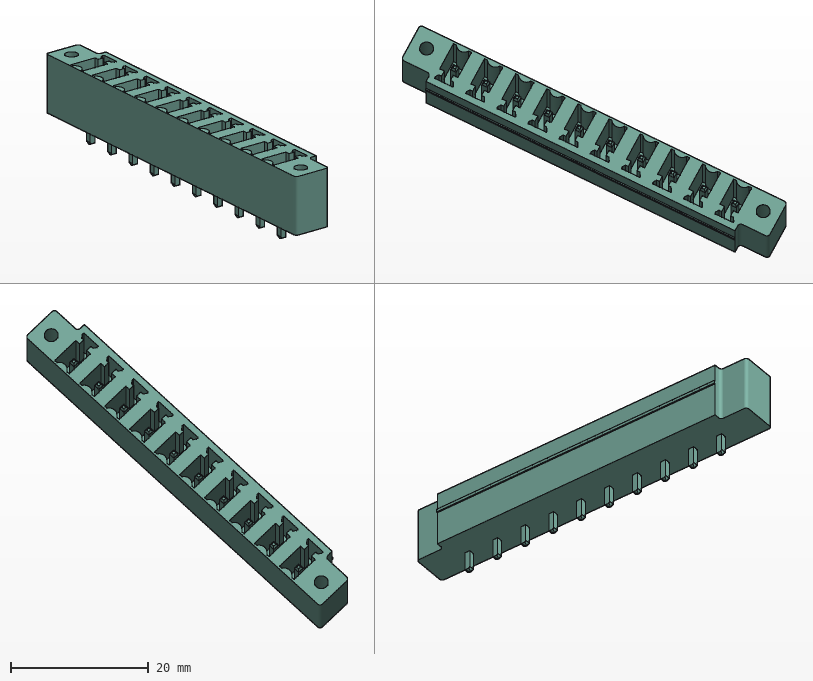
import cadquery as cq


PIN_COUNT = 10
PITCH = 5.08
PIN_SIZE = 0.9
PIN_TIP_LENGTH = 0.5
PIN_TIP_INSET = 0.25
PIN_TOP = 7.0

OVERALL_LENGTH = 59.92
OVERALL_DEPTH = 7.55
OVERALL_HEIGHT = 12.6
HOUSING_HEIGHT = 9.2
FRONT_FACE_Y = -2.8
FLANGE_DEPTH = 6.0
FLANGE_LENGTH = 4.75
CORNER_RADIUS = 0.5

RIDGE_PROJECTION = 0.2
RIDGE_HEIGHT = 0.5
RIDGE_CENTER_Z = 6.0

SCREW_HOLE_DIAMETER = 2.0
SCREW_HOLE_INSET = 2.5
SCREW_HOLE_DEPTH = 7.7

POCKET_WIDTH = 2.95
POCKET_FLOOR_Z = 1.5
FRONT_WALL = 0.35
MAIN_POCKET_DEPTH = 4.35
NECK_WIDTH = 1.45
NECK_DEPTH = 0.9
KEYWAY_DEPTH = 0.75
KEYWAY_BEVEL_WIDTH = 0.3
KEYWAY_BEVEL_DEPTH = 0.45
RIB_WIDTH = 2.0
RIB_DEPTH = 0.58

PIN_BOTTOM = HOUSING_HEIGHT - OVERALL_HEIGHT
REAR_FACE_Y = FRONT_FACE_Y + OVERALL_DEPTH - RIDGE_PROJECTION
FLANGE_REAR_Y = FRONT_FACE_Y + FLANGE_DEPTH
REAR_LENGTH = OVERALL_LENGTH - 2 * FLANGE_LENGTH
PIN_POSITIONS = [((i - (PIN_COUNT - 1) / 2) * PITCH, 0) for i in range(PIN_COUNT)]
SCREW_HOLE_X = OVERALL_LENGTH / 2 - SCREW_HOLE_INSET


def make_housing():
    """Extruded block whose two end flanges are set back from the rear face."""
    end_x = OVERALL_LENGTH / 2
    step_x = REAR_LENGTH / 2
    right_half = [
        (end_x, FRONT_FACE_Y),
        (end_x, FLANGE_REAR_Y),
        (step_x, FLANGE_REAR_Y),
        (step_x, REAR_FACE_Y),
    ]
    left_half = [(-x, y) for x, y in reversed(right_half)]
    block = cq.Workplane("XY").polyline(right_half + left_half).close().extrude(HOUSING_HEIGHT)
    rounded_edges = cq.selectors.BoxSelector(
        (-OVERALL_LENGTH, FRONT_FACE_Y - CORNER_RADIUS, 0),
        (OVERALL_LENGTH, FLANGE_REAR_Y + CORNER_RADIUS, HOUSING_HEIGHT),
    )
    return block.edges("|Z").edges(rounded_edges).fillet(CORNER_RADIUS)


def make_ridge():
    """Thin rib running the full length of the rear face."""
    return (
        cq.Workplane("XY")
        .box(REAR_LENGTH, RIDGE_PROJECTION, RIDGE_HEIGHT, centered=(True, False, True))
        .translate((0, REAR_FACE_Y, RIDGE_CENTER_Z))
    )


def make_screw_holes():
    """Blind hole from the top of each end flange."""
    return (
        cq.Workplane("XY", origin=(0, 0, HOUSING_HEIGHT))
        .pushPoints([(-SCREW_HOLE_X, 0), (SCREW_HOLE_X, 0)])
        .circle(SCREW_HOLE_DIAMETER / 2)
        .extrude(-SCREW_HOLE_DEPTH)
    )


def make_pocket():
    """Keyed pocket: wide chamber, narrow neck, flared keyway and a round rib on the front wall."""
    half_width = POCKET_WIDTH / 2
    half_neck = NECK_WIDTH / 2
    front_y = FRONT_FACE_Y + FRONT_WALL
    neck_y = front_y + MAIN_POCKET_DEPTH
    keyway_y = neck_y + NECK_DEPTH
    rear_y = keyway_y + KEYWAY_DEPTH
    return (
        cq.Workplane("XY", origin=(0, 0, POCKET_FLOOR_Z))
        .moveTo(RIB_WIDTH / 2, front_y)
        .lineTo(half_width, front_y)
        .lineTo(half_width, neck_y)
        .lineTo(half_neck, neck_y)
        .lineTo(half_neck, keyway_y)
        .lineTo(half_width - KEYWAY_BEVEL_WIDTH, keyway_y)
        .lineTo(half_width, keyway_y + KEYWAY_BEVEL_DEPTH)
        .lineTo(half_width, rear_y)
        .lineTo(-half_width, rear_y)
        .lineTo(-half_width, keyway_y + KEYWAY_BEVEL_DEPTH)
        .lineTo(-half_width + KEYWAY_BEVEL_WIDTH, keyway_y)
        .lineTo(-half_neck, keyway_y)
        .lineTo(-half_neck, neck_y)
        .lineTo(-half_width, neck_y)
        .lineTo(-half_width, front_y)
        .lineTo(-RIB_WIDTH / 2, front_y)
        .threePointArc((0, front_y + RIB_DEPTH), (RIB_WIDTH / 2, front_y))
        .close()
        .extrude(HOUSING_HEIGHT - POCKET_FLOOR_Z)
    )


def make_pin():
    """Square contact pin with tapered tips at both ends."""
    pin = (
        cq.Workplane("XY", origin=(0, 0, PIN_BOTTOM))
        .rect(PIN_SIZE, PIN_SIZE)
        .extrude(PIN_TOP - PIN_BOTTOM)
    )
    pin = pin.faces(">Z").chamfer(PIN_TIP_LENGTH, PIN_TIP_INSET)
    return pin.faces("<Z").chamfer(PIN_TIP_LENGTH, PIN_TIP_INSET)


def at_each_pin(body):
    """Copies of a body at every pin position."""
    solid = body.val()
    return cq.Workplane("XY").pushPoints(PIN_POSITIONS).eachpoint(lambda place: solid.moved(place))


housing = make_housing().union(make_ridge())
housing = housing.cut(make_screw_holes()).cut(at_each_pin(make_pocket()))
result = housing.union(at_each_pin(make_pin()))